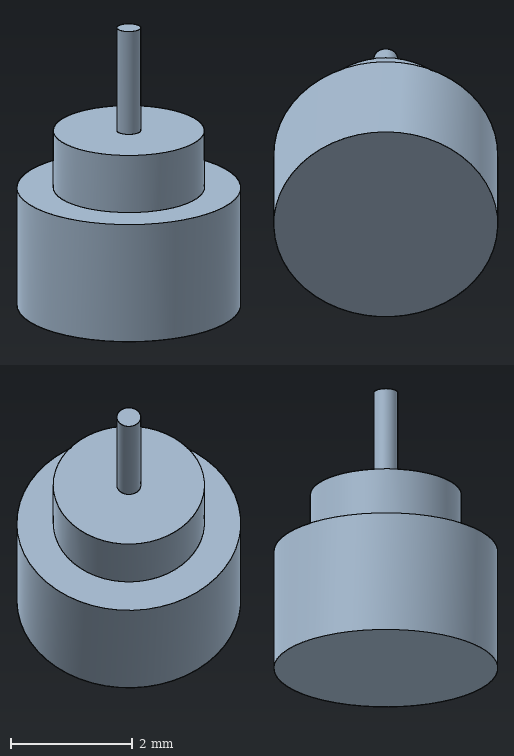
import cadquery as cq

base_diameter = 3.7
base_height = 2.05
collar_diameter = 2.5
collar_height = 1.0
bead_diameter = 1.95
pin_diameter = 0.4
total_height = 4.85

collar_top = base_height + collar_height
pin_height = total_height - collar_top


def cylinder(diameter, height, bottom):
    """Upright cylinder on the Z axis, starting at the given level."""
    return cq.Workplane("XY").workplane(offset=bottom).circle(diameter / 2).extrude(height)


base = cylinder(base_diameter, base_height, 0)
bead = cylinder(bead_diameter, collar_height, base_height)
collar = cylinder(collar_diameter, collar_height, base_height).cut(bead)
pin = cylinder(pin_diameter, pin_height, collar_top)

result = base.union(collar, clean=False).union(bead, clean=False).union(pin, clean=False)